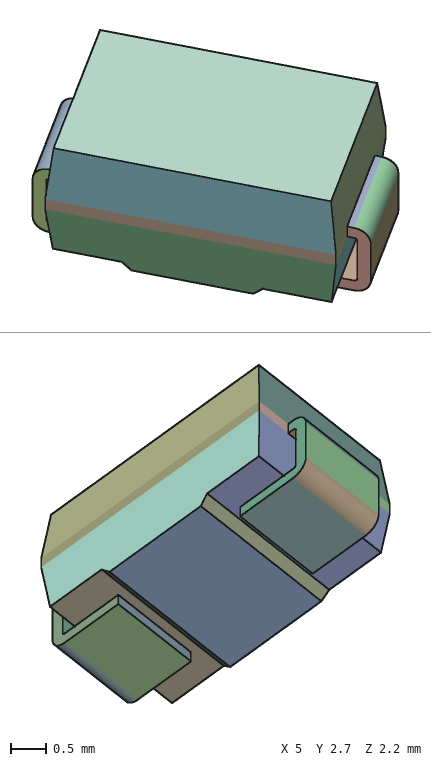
import cadquery as cq
import math

total_length = 5
total_height = 2.2

body_length = 4.3
body_width = 2.7
draft_angle = 6
waist_top = 1.25
body_bottom = 0.05

lead_width = 1.5
lead_thickness = 0.2
lead_foot_length = 1.3
outer_bend_radius = 0.25
inner_bend_radius = outer_bend_radius - lead_thickness

waist_bottom = waist_top - lead_thickness

pad_base_length = 2.08
pad_tip_length = 1.8


def drafted_block(z_start, height):
    """Block that narrows away from the waist; a negative height goes down."""
    inset = abs(height) * math.tan(math.radians(draft_angle))
    return (
        cq.Workplane("XY", origin=(0, 0, z_start))
        .rect(body_length, body_width)
        .workplane(offset=height)
        .rect(body_length - 2 * inset, body_width - 2 * inset)
        .loft()
    )


def make_body():
    waist = cq.Workplane("XY", origin=(0, 0, waist_bottom)).box(
        body_length, body_width, waist_top - waist_bottom, centered=(True, True, False)
    )
    upper = drafted_block(waist_top, total_height - waist_top)
    lower = drafted_block(waist_bottom, body_bottom - waist_bottom)
    return waist.union(upper).union(lower)


def end_relief(side):
    """Cutter that raises the underside at one end to rest on the lead foot."""
    return (
        cq.Workplane("XZ")
        .polyline([
            (side * pad_base_length / 2, lead_thickness),
            (side * pad_tip_length / 2, body_bottom),
            (side * total_length / 2, body_bottom),
            (side * total_length / 2, lead_thickness),
        ])
        .close()
        .extrude(body_width / 2, both=True)
    )


def make_lead(side):
    """C-shaped strip that leaves the waist, turns down and folds under the body."""
    outer_end = total_length / 2
    foot_end = outer_end - lead_foot_length
    inner_end = outer_end - lead_thickness
    strip = (
        cq.Workplane("XZ")
        .polyline([
            (side * foot_end, 0),
            (side * outer_end, 0),
            (side * outer_end, waist_top),
            (side * foot_end, waist_top),
            (side * foot_end, waist_bottom),
            (side * inner_end, waist_bottom),
            (side * inner_end, lead_thickness),
            (side * foot_end, lead_thickness),
        ])
        .close()
        .extrude(lead_width / 2, both=True)
    )
    outward = ">X" if side > 0 else "<X"
    inner_corners = cq.selectors.BoxSelector(
        (side * (inner_end - inner_bend_radius), -lead_width, lead_thickness - inner_bend_radius),
        (side * (inner_end + inner_bend_radius), lead_width, waist_bottom + inner_bend_radius),
    )
    strip = strip.edges(inner_corners).edges("|Y").fillet(inner_bend_radius)
    return strip.faces(outward).edges("|Y").fillet(outer_bend_radius)


result = make_body()
for side in (-1, 1):
    result = result.cut(end_relief(side))
for side in (-1, 1):
    result = result.union(make_lead(side))